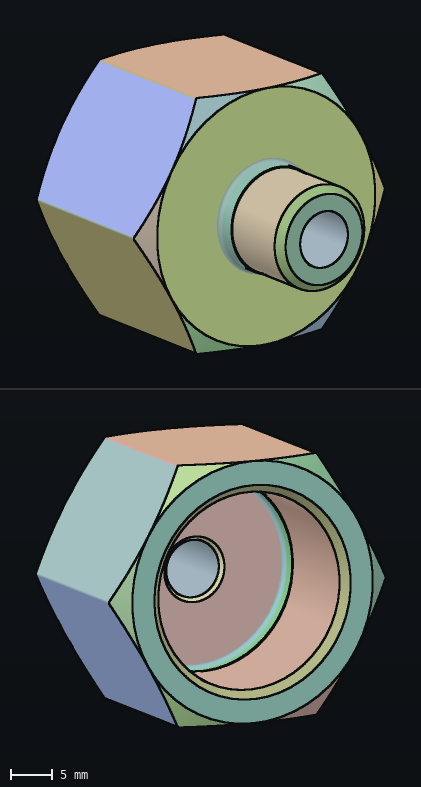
import cadquery as cq
import math

across_flats = 32.0
body_length = 23.0
hex_edge_radius = 0.3
corner_chamfer_angle = math.radians(30)
across_corners = across_flats / math.cos(math.pi / 6)

socket_diameter = 24.12
socket_runout_diameter = 24.32
socket_depth = 16.0
socket_runout_length = 2.0
socket_mouth_chamfer = 1.0
socket_floor_radius = 0.5

total_length = 35.0
spigot_diameter = 13.16
spigot_runout_diameter = 13.36
spigot_runout_length = 2.25
spigot_root_radius = 0.5
spigot_end_chamfer = 0.95

hole_diameter = 7.0
hole_chamfer = 0.5


def cylinder(diameter, start, end):
    """Solid cylinder on the X axis from x = start to x = end."""
    return cq.Workplane("YZ", origin=(start, 0, 0)).circle(diameter / 2).extrude(end - start)


def revolve_about_x(profile):
    """Revolve a closed (x, radius) profile about the X axis."""
    return profile.close().revolve(360, (0, 0, 0), (1, 0, 0))


def hex_body():
    """Hexagonal prism with flats on +Z and -Z, rounded edges and coned ends."""
    prism = cq.Workplane("YZ").polygon(6, across_corners).extrude(body_length)
    prism = prism.edges("|X").fillet(hex_edge_radius)

    face_radius = across_flats / 2
    envelope_radius = across_corners / 2
    cone_length = (envelope_radius - face_radius) * math.tan(corner_chamfer_angle)
    envelope = revolve_about_x(
        cq.Workplane("XY")
        .moveTo(0, 0)
        .lineTo(0, face_radius)
        .lineTo(cone_length, envelope_radius)
        .lineTo(body_length - cone_length, envelope_radius)
        .lineTo(body_length, face_radius)
        .lineTo(body_length, 0)
    )
    return prism.intersect(envelope)


def spigot():
    """Male end with a chamfered tip and a rounded root where it meets the body."""
    runout_radius = spigot_runout_diameter / 2
    root_end = body_length + spigot_root_radius
    root_center_radius = runout_radius + spigot_root_radius
    arc_offset = spigot_root_radius * math.sqrt(0.5)
    root_flare = revolve_about_x(
        cq.Workplane("XY")
        .moveTo(body_length, 0)
        .lineTo(body_length, root_center_radius)
        .threePointArc((root_end - arc_offset, root_center_radius - arc_offset), (root_end, runout_radius))
        .lineTo(root_end, 0)
    )
    runout = cylinder(spigot_runout_diameter, root_end, body_length + spigot_runout_length)
    thread = cylinder(spigot_diameter, body_length, total_length)
    thread = thread.faces(">X").edges().chamfer(spigot_end_chamfer)
    return root_flare.union(runout).union(thread)


def socket_cavity():
    """Volume removed for the female socket."""
    mouth_chamfer = revolve_about_x(
        cq.Workplane("XY")
        .moveTo(0, 0)
        .lineTo(0, socket_diameter / 2 + socket_mouth_chamfer)
        .lineTo(socket_mouth_chamfer, socket_diameter / 2)
        .lineTo(socket_mouth_chamfer, 0)
    )
    thread = cylinder(socket_diameter, 0, socket_depth - socket_runout_length)
    runout = cylinder(socket_runout_diameter, socket_depth - socket_runout_length, socket_depth)
    runout = runout.faces(">X").edges().fillet(socket_floor_radius)
    return mouth_chamfer.union(thread).union(runout)


def hole_cavity():
    """Volume removed for the through hole and the chamfer at the socket floor."""
    hole = cylinder(hole_diameter, 0, total_length)
    chamfer = revolve_about_x(
        cq.Workplane("XY")
        .moveTo(socket_depth, 0)
        .lineTo(socket_depth, hole_diameter / 2 + hole_chamfer)
        .lineTo(socket_depth + hole_chamfer, hole_diameter / 2)
        .lineTo(socket_depth + hole_chamfer, 0)
    )
    return hole.union(chamfer)


result = hex_body().union(spigot()).cut(socket_cavity()).cut(hole_cavity())